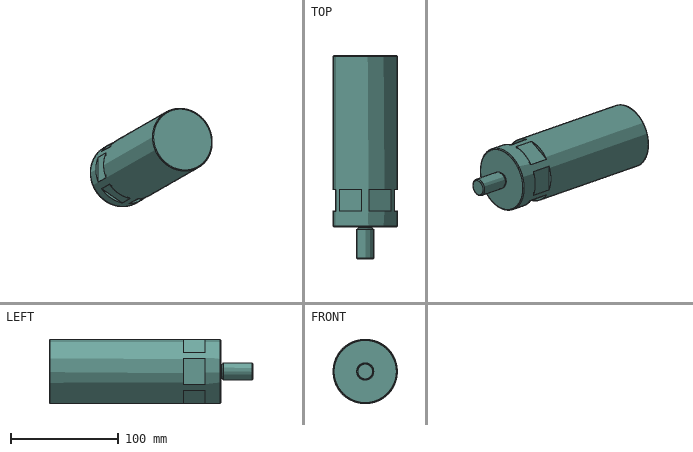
import cadquery as cq

total_length = 190.0
body_diameter = 60.0
body_length = 160.0
front_chamfer = 1.0
rear_chamfer_width = 1.0
rear_chamfer_length = 0.5

stud_diameter = 16.0
stud_tip_diameter = 13.9
neck_diameter = 13.0
neck_length = 1.0

flat_count = 6
across_flats = 55.1
flat_length = 20.0
flat_front_offset = 15.0

body_radius = body_diameter / 2
stud_radius = stud_diameter / 2
tip_radius = stud_tip_diameter / 2
neck_radius = neck_diameter / 2
tip_chamfer = stud_radius - tip_radius
shoulder_chamfer = stud_radius - neck_radius
body_front = total_length - body_length
neck_front = body_front - neck_length


def make_turned_shape():
    """Revolve the half profile of stud and body about the Y axis."""
    return (
        cq.Workplane("XY")
        .moveTo(0, 0)
        .lineTo(tip_radius, 0)
        .lineTo(stud_radius, tip_chamfer)
        .lineTo(stud_radius, neck_front - shoulder_chamfer)
        .lineTo(neck_radius, neck_front)
        .lineTo(neck_radius, body_front)
        .lineTo(body_radius - front_chamfer, body_front)
        .lineTo(body_radius, body_front + front_chamfer)
        .lineTo(body_radius, total_length - rear_chamfer_length)
        .lineTo(body_radius - rear_chamfer_width, total_length)
        .lineTo(0, total_length)
        .close()
        .revolve(360, (0, 0, 0), (0, 1, 0))
    )


def make_flat_cutter(angle):
    """Block that leaves one wrench flat, turned about Y from the +X side."""
    return (
        cq.Workplane("XY")
        .box(body_radius, flat_length, body_diameter, centered=(False, False, True))
        .translate((across_flats / 2, body_front + flat_front_offset, 0))
        .rotate((0, 0, 0), (0, 1, 0), angle)
    )


result = make_turned_shape()
for index in range(flat_count):
    result = result.cut(make_flat_cutter(index * 360 / flat_count))